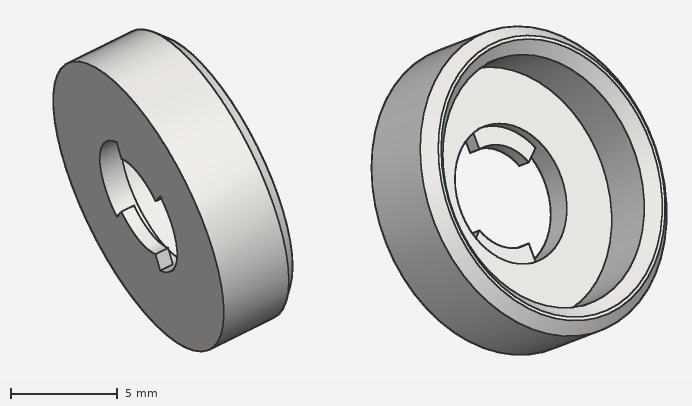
import cadquery as cq
import math

outer_radius = 7.5
height = 4.2
outer_chamfer = 0.6

bore_radius = 3.4
tab_radius = 2.5
tab_thickness = 0.7
tab_tip_half_width = 1.5
tab_root_half_width = 1.91

end_wall = 1.2
cavity_radius = 6.125
cavity_chamfer = 0.6

front_y = -height / 2
back_y = height / 2


def revolved_body():
    """Cup with a round bore, revolved about the Y axis from its radius-height profile."""
    cavity_floor_y = front_y + end_wall
    profile = (
        cq.Workplane("XY")
        .moveTo(bore_radius, front_y)
        .lineTo(outer_radius, front_y)
        .lineTo(outer_radius, back_y - outer_chamfer)
        .lineTo(outer_radius - outer_chamfer, back_y)
        .lineTo(cavity_radius + cavity_chamfer, back_y)
        .lineTo(cavity_radius, back_y - cavity_chamfer)
        .lineTo(cavity_radius, cavity_floor_y)
        .lineTo(bore_radius, cavity_floor_y)
        .close()
    )
    return profile.revolve(360, (0, 0, 0), (0, 1, 0))


def height_on_circle(radius, half_width):
    """Distance from the centre to the chord of the given half width."""
    return math.sqrt(radius**2 - half_width**2)


def tab(side):
    """Tab at +Z (side = 1) or -Z (side = -1), concave at its tip and flush with the front face."""
    tip_z = side * height_on_circle(tab_radius, tab_tip_half_width)
    root_z = side * height_on_circle(bore_radius, tab_root_half_width)
    return (
        cq.Workplane("XZ", origin=(0, front_y, 0))
        .moveTo(-tab_tip_half_width, tip_z)
        .threePointArc((0, side * tab_radius), (tab_tip_half_width, tip_z))
        .lineTo(tab_root_half_width, root_z)
        .threePointArc((0, side * bore_radius), (-tab_root_half_width, root_z))
        .close()
        .extrude(-tab_thickness)
    )


result = revolved_body()
for side in (1, -1):
    result = result.union(tab(side))